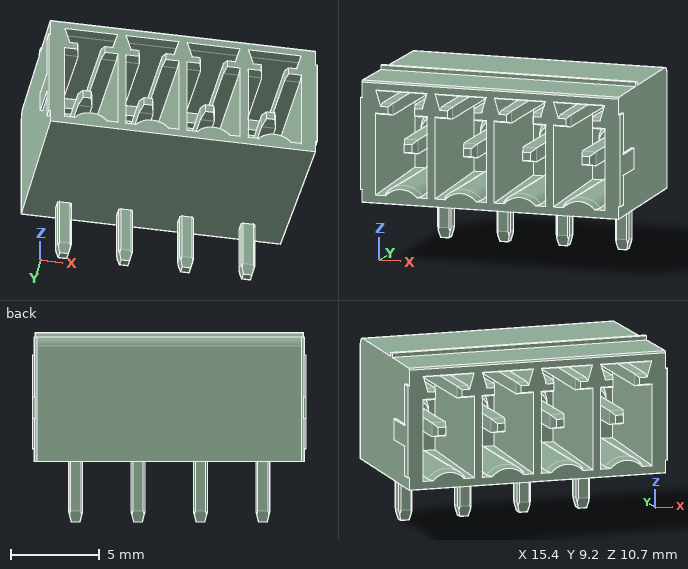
import cadquery as cq
import math


FRONT_WIDTH = 15.2
DEPTH = 9.2
BODY_HEIGHT = 7.0
SIDE_DRAFT = 1.0
BACK_FILLET = 0.5
FRONT_CHAMFER = 0.1

RIB_FRONT_Y = 3.19
RIB_WIDTH = 0.38
RIB_HEIGHT = 0.25
RIB_FILLET = 0.18

PAD_SPAN = 15.4
PAD_BAR_DEPTH = 0.57
PAD_BAR_BOTTOM = 0.72
PAD_BAR_TOP = 6.0
PAD_ARM_REACH = 2.48
PAD_ARM_BOTTOM = 2.43
PAD_ARM_TOP = 3.63

CONTACT_COUNT = 4
PITCH = 3.51
CAVITY_WIDTH = 3.05
CAVITY_DEPTH = 7.0
UPPER_SLOT_DEPTH = 6.47
LEAD_IN_DEPTH = 0.5
SLOT_TOP_WIDTH = 3.02
SLOT_BOTTOM_WIDTH = 2.46
FLOOR_FRONT = 0.46
FLOOR_BACK = 0.7
MOUTH_LEDGE_BOTTOM = 5.17
MOUTH_LEDGE_TOP = 5.57
MOUTH_CEILING = 6.5
MOUTH_GAP = 1.57
INNER_LEDGE_BOTTOM = 5.02
INNER_LEDGE_TOP = 5.7
INNER_CEILING = 6.36
INNER_GAP = 1.31

ARCH_AXIS_Z = -0.37
ARCH_MOUTH_RADIUS = 1.25
ARCH_RADIUS = 1.39

BOSS_BASE_RADIUS = 1.15
BOSS_TIP_RADIUS = 0.86
BOSS_HEIGHT = 0.9

PIN_SIZE = 0.8
PIN_AXIS_Z = 3.0
PIN_AXIS_Y = 8.0
PIN_TIP_Y = 1.2
PIN_LENGTH_BELOW = 3.4
MATING_TIP_SIZE = 0.46
MATING_TIP_LENGTH = 0.6
SOLDER_TIP_SIZE = 0.5
SOLDER_TIP_LENGTH = 0.62
PIN_CHAMFER = 0.11

contact_positions = [PITCH * (i - (CONTACT_COUNT - 1) / 2) for i in range(CONTACT_COUNT)]


def box(x_range, y_range, z_range):
    """Axis-aligned block between pairs of limits."""
    size = [high - low for low, high in (x_range, y_range, z_range)]
    corner = (x_range[0], y_range[0], z_range[0])
    return cq.Workplane("XY").box(*size, centered=False).translate(corner)


def front_plane(y):
    """Workplane facing +Y at depth y, with local axes (-X, Z)."""
    return cq.Workplane(cq.Plane(origin=(0, y, 0), xDir=(-1, 0, 0), normal=(0, 1, 0)))


def make_body():
    """Housing block with its rib, tapering in width from front to back."""
    side = cq.Workplane("YZ").rect(DEPTH, BODY_HEIGHT, centered=False).extrude(FRONT_WIDTH / 2, both=True)
    side = side.edges("|X and >Y and >Z").fillet(BACK_FILLET)
    side = side.edges("|X and <Y and >Z").chamfer(FRONT_CHAMFER)
    rib = box(
        (-FRONT_WIDTH / 2, FRONT_WIDTH / 2),
        (RIB_FRONT_Y, RIB_FRONT_Y + RIB_WIDTH),
        (BODY_HEIGHT, BODY_HEIGHT + RIB_HEIGHT),
    )
    rib = rib.edges("|X and >Y and >Z").fillet(RIB_FILLET)
    half_front = FRONT_WIDTH / 2
    half_back = half_front - DEPTH * math.tan(math.radians(SIDE_DRAFT))
    footprint = (
        cq.Workplane("XY")
        .polyline([(-half_front, 0), (half_front, 0), (half_back, DEPTH), (-half_back, DEPTH)])
        .close()
        .extrude(BODY_HEIGHT + RIB_HEIGHT)
    )
    return side.union(rib).intersect(footprint)


def make_end_pads():
    """T-shaped pads standing proud of both ends, as one block through the housing."""
    span = (-PAD_SPAN / 2, PAD_SPAN / 2)
    bar = box(span, (0, PAD_BAR_DEPTH), (PAD_BAR_BOTTOM, PAD_BAR_TOP))
    arm = box(span, (0, PAD_ARM_REACH), (PAD_ARM_BOTTOM, PAD_ARM_TOP))
    return bar.union(arm)


def slot_half_width(z):
    """Half width of the dovetail slot at height z, along its straight flank."""
    rise = (z - MOUTH_LEDGE_TOP) / (MOUTH_CEILING - MOUTH_LEDGE_TOP)
    return (SLOT_BOTTOM_WIDTH + rise * (SLOT_TOP_WIDTH - SLOT_BOTTOM_WIDTH)) / 2


def cavity_outline(ledge_bottom, ledge_top, ceiling, gap):
    """Closed cavity outline: wide chamber, gap between the ledges, dovetail slot."""
    right = [
        (CAVITY_WIDTH / 2, FLOOR_FRONT),
        (CAVITY_WIDTH / 2, ledge_bottom),
        (gap / 2, ledge_bottom),
        (gap / 2, ledge_top),
        (slot_half_width(ledge_top), ledge_top),
        (slot_half_width(ceiling), ceiling),
    ]
    left = [(-x, z) for x, z in reversed(right)]
    return right + left


def make_arch():
    """Round hump on the cavity floor, coned down to a smaller radius at the mouth."""
    cone = (
        front_plane(0)
        .center(0, ARCH_AXIS_Z)
        .circle(ARCH_MOUTH_RADIUS)
        .workplane(offset=LEAD_IN_DEPTH)
        .circle(ARCH_RADIUS)
        .loft(ruled=True)
    )
    barrel = (
        front_plane(LEAD_IN_DEPTH)
        .center(0, ARCH_AXIS_Z)
        .circle(ARCH_RADIUS)
        .extrude(CAVITY_DEPTH - LEAD_IN_DEPTH)
    )
    return cone.union(barrel)


def make_floor():
    """Wedge under the cavity that raises its floor steadily towards the back wall."""
    return (
        cq.Workplane("YZ")
        .polyline([(0, FLOOR_FRONT), (CAVITY_DEPTH, FLOOR_FRONT), (CAVITY_DEPTH, FLOOR_BACK)])
        .close()
        .extrude(CAVITY_WIDTH / 2, both=True)
    )


def make_boss():
    """Cone on the cavity back wall, around the contact."""
    return (
        front_plane(CAVITY_DEPTH - BOSS_HEIGHT)
        .center(0, PIN_AXIS_Z)
        .circle(BOSS_TIP_RADIUS)
        .workplane(offset=BOSS_HEIGHT)
        .circle(BOSS_BASE_RADIUS)
        .loft(ruled=True)
    )


def make_cavity():
    """Space removed from the housing for one contact, centred on X = 0."""
    mouth = cavity_outline(MOUTH_LEDGE_BOTTOM, MOUTH_LEDGE_TOP, MOUTH_CEILING, MOUTH_GAP)
    inner = cavity_outline(INNER_LEDGE_BOTTOM, INNER_LEDGE_TOP, INNER_CEILING, INNER_GAP)
    lead_in = (
        front_plane(0)
        .polyline(mouth)
        .close()
        .workplane(offset=LEAD_IN_DEPTH)
        .polyline(inner)
        .close()
        .loft(ruled=True)
    )
    chamber = (
        front_plane(LEAD_IN_DEPTH)
        .polyline(inner)
        .close()
        .extrude(CAVITY_DEPTH - LEAD_IN_DEPTH)
    )
    slot_end = box(
        (-CAVITY_WIDTH / 2, CAVITY_WIDTH / 2),
        (UPPER_SLOT_DEPTH, CAVITY_DEPTH),
        (INNER_LEDGE_TOP, INNER_CEILING),
    )
    return lead_in.union(chamber).cut(slot_end).cut(make_floor()).cut(make_arch()).cut(make_boss())


def make_pin():
    """Right-angled square pin, centred on X = 0."""
    half = PIN_SIZE / 2
    mating_leg = (
        front_plane(PIN_TIP_Y + MATING_TIP_LENGTH)
        .center(0, PIN_AXIS_Z)
        .rect(PIN_SIZE, PIN_SIZE)
        .extrude(PIN_AXIS_Y + half - PIN_TIP_Y - MATING_TIP_LENGTH)
    )
    mating_tip = (
        front_plane(PIN_TIP_Y)
        .center(0, PIN_AXIS_Z)
        .rect(MATING_TIP_SIZE, MATING_TIP_SIZE)
        .workplane(offset=MATING_TIP_LENGTH)
        .rect(PIN_SIZE, PIN_SIZE)
        .loft(ruled=True)
    )
    straight_length = PIN_LENGTH_BELOW - SOLDER_TIP_LENGTH
    solder_bar = box(
        (-half, half),
        (PIN_AXIS_Y - half, PIN_AXIS_Y + half),
        (-PIN_LENGTH_BELOW, PIN_AXIS_Z - half),
    )
    solder_bar = solder_bar.edges("|Z").chamfer(PIN_CHAMFER)
    taper = (
        cq.Workplane("XY", origin=(0, PIN_AXIS_Y, -PIN_LENGTH_BELOW))
        .rect(SOLDER_TIP_SIZE, SOLDER_TIP_SIZE)
        .workplane(offset=SOLDER_TIP_LENGTH)
        .rect(PIN_SIZE, PIN_SIZE)
        .loft(ruled=True)
    )
    above_taper = box(
        (-half, half),
        (PIN_AXIS_Y - half, PIN_AXIS_Y + half),
        (-straight_length, PIN_AXIS_Z),
    )
    solder_leg = solder_bar.intersect(taper.union(above_taper))
    return mating_leg.union(mating_tip).union(solder_leg)


def make_housing(pins):
    """Housing with its cavities and a matching hole for every pin."""
    housing = make_body().union(make_end_pads())
    cavity = make_cavity()
    for x in contact_positions:
        housing = housing.cut(cavity.translate((x, 0, 0)))
    for pin in pins:
        housing = housing.cut(pin)
    return housing


pin_shape = make_pin()
contact_pins = [pin_shape.translate((x, 0, 0)) for x in contact_positions]
housing = make_housing(contact_pins)

result = cq.Compound.makeCompound([housing.val(), *[pin.val() for pin in contact_pins]])